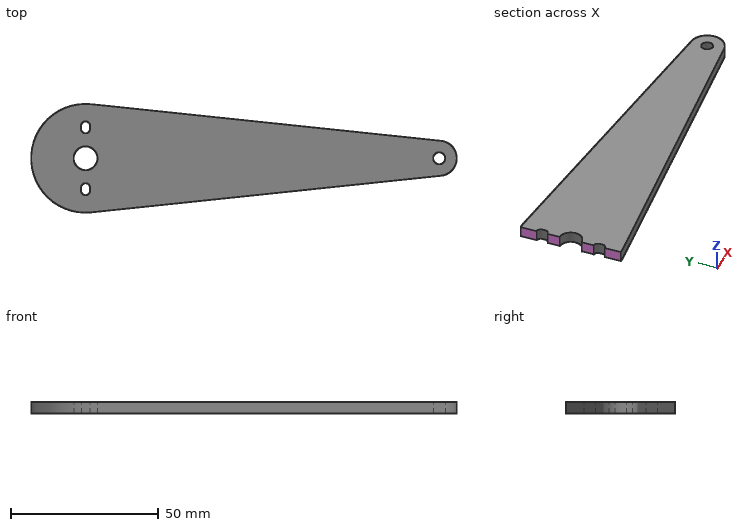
import cadquery as cq
import math

THICKNESS = 4.0
HUB_RADIUS = 18.5
TIP_RADIUS = 6.0
HUB_TO_TIP = 120.0
HUB_BORE_DIAMETER = 8.0
TIP_HOLE_DIAMETER = 4.0
SLOT_WIDTH = 3.0
SLOT_LENGTH = 4.0
SLOT_OFFSET = 10.5

TANGENT_ANGLE = math.asin((HUB_RADIUS - TIP_RADIUS) / HUB_TO_TIP)


def tangent_point(center_x, radius):
    """Upper point where the straight edge touches an end arc."""
    x = center_x + radius * math.sin(TANGENT_ANGLE)
    y = radius * math.cos(TANGENT_ANGLE)
    return x, y


def arm_plate():
    """Tapered plate with a large round hub end and a small round tip end."""
    hub_x, hub_y = tangent_point(0, HUB_RADIUS)
    tip_x, tip_y = tangent_point(HUB_TO_TIP, TIP_RADIUS)
    return (
        cq.Workplane("XY")
        .moveTo(hub_x, hub_y)
        .lineTo(tip_x, tip_y)
        .threePointArc((HUB_TO_TIP + TIP_RADIUS, 0), (tip_x, -tip_y))
        .lineTo(hub_x, -hub_y)
        .threePointArc((-HUB_RADIUS, 0), (hub_x, hub_y))
        .close()
        .extrude(THICKNESS)
    )


def through_hole(center_x, diameter):
    """Cutter for a round hole on the arm's centreline."""
    return cq.Workplane("XY").center(center_x, 0).circle(diameter / 2).extrude(THICKNESS)


def hub_slots():
    """Cutter for the two slots on either side of the hub bore, long along Y."""
    return (
        cq.Workplane("XY")
        .pushPoints([(0, SLOT_OFFSET), (0, -SLOT_OFFSET)])
        .slot2D(SLOT_LENGTH, SLOT_WIDTH, 90)
        .extrude(THICKNESS)
    )


result = (
    arm_plate()
    .cut(through_hole(0, HUB_BORE_DIAMETER))
    .cut(through_hole(HUB_TO_TIP, TIP_HOLE_DIAMETER))
    .cut(hub_slots())
)